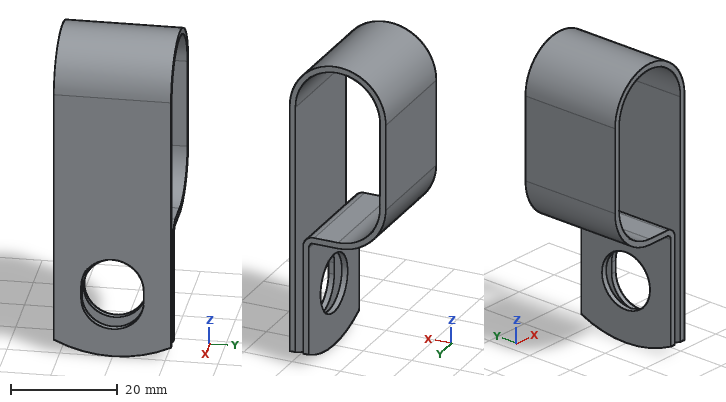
import cadquery as cq

loop_width = 19.9
strap_width = 22.2
height = 63.1
thickness = 1.2
lower_arc_z = 35.65
leg_gap = 1.6
bend_radius = 1.0
hole_diameter = 11.85
slot_length = 14.25
hole_z = 12.75
end_rise = 2.6

outer_radius = loop_width / 2
inner_radius = outer_radius - thickness
upper_arc_z = height - outer_radius
shelf_bottom = lower_arc_z - outer_radius
shelf_top = shelf_bottom + thickness
leg_right = inner_radius - leg_gap
leg_left = leg_right - thickness
bend_outer_radius = bend_radius + thickness
bend_x = leg_right - bend_outer_radius
bend_z = shelf_top - bend_outer_radius
half_strap = strap_width / 2


def make_strap():
    """Bent strip: long leg, loop, shelf and short leg, extruded along Y."""
    profile = (
        cq.Workplane("XZ")
        .moveTo(outer_radius, 0)
        .lineTo(outer_radius, upper_arc_z)
        .threePointArc((0, height), (-outer_radius, upper_arc_z))
        .lineTo(-outer_radius, lower_arc_z)
        .radiusArc((0, shelf_bottom), -outer_radius)
        .lineTo(bend_x, shelf_bottom)
        .radiusArc((leg_left, bend_z), bend_radius)
        .lineTo(leg_left, 0)
        .lineTo(leg_right, 0)
        .lineTo(leg_right, bend_z)
        .radiusArc((bend_x, shelf_top), -bend_outer_radius)
        .lineTo(0, shelf_top)
        .radiusArc((-inner_radius, lower_arc_z), inner_radius)
        .lineTo(-inner_radius, upper_arc_z)
        .threePointArc((0, height - thickness), (inner_radius, upper_arc_z))
        .lineTo(inner_radius, 0)
        .close()
    )
    return profile.extrude(half_strap, both=True)


def make_side_envelope():
    """Strap outline seen along X, with the rounded lower end."""
    return (
        cq.Workplane("YZ")
        .moveTo(-half_strap, end_rise)
        .threePointArc((0, 0), (half_strap, end_rise))
        .lineTo(half_strap, height)
        .lineTo(-half_strap, height)
        .close()
        .extrude(loop_width, both=True)
    )


def make_bolt_hole():
    """Cylinder along X through the short leg, ending in the gap between the legs."""
    return (
        cq.Workplane("YZ", origin=(leg_left, 0, hole_z))
        .circle(hole_diameter / 2)
        .extrude(thickness + leg_gap / 2)
    )


def make_adjustment_slot():
    """Upright slot through the long leg, as wide as the bolt hole."""
    return (
        cq.Workplane("YZ", origin=(inner_radius, 0, hole_z))
        .slot2D(slot_length, hole_diameter, 90)
        .extrude(thickness)
    )


strap = make_strap().intersect(make_side_envelope())
result = strap.cut(make_bolt_hole()).cut(make_adjustment_slot())